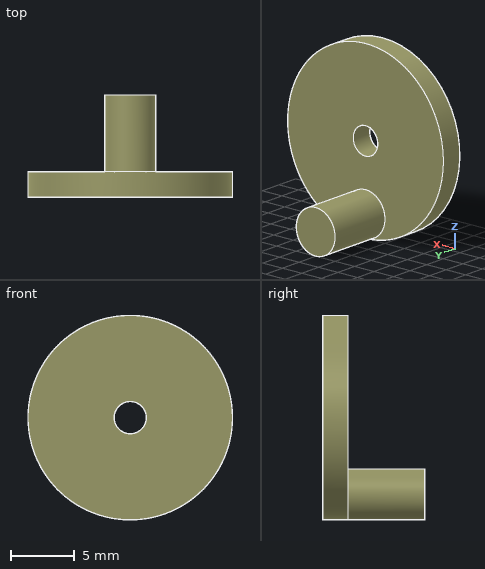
import cadquery as cq

disc_diameter = 16.0
disc_thickness = 2.0
shaft_hole_diameter = 2.5

pin_diameter = 4.0
pin_length = 6.0
pin_center_z = -(disc_diameter - pin_diameter) / 2


def cylinder_along_y(diameter, start_y, length, center_z=0.0):
    """Solid cylinder running from start_y towards +Y."""
    return cq.Workplane(
        cq.Solid.makeCylinder(
            diameter / 2,
            length,
            cq.Vector(0, start_y, center_z),
            cq.Vector(0, 1, 0),
        )
    )


def make_disc():
    """Disc with a central through hole for the shaft."""
    blank = cylinder_along_y(disc_diameter, 0.0, disc_thickness)
    shaft_hole = cylinder_along_y(shaft_hole_diameter, 0.0, disc_thickness)
    return blank.cut(shaft_hole)


def make_pin():
    """Crank pin rising from the back face of the disc."""
    return cylinder_along_y(pin_diameter, disc_thickness, pin_length, pin_center_z)


result = make_disc().union(make_pin())